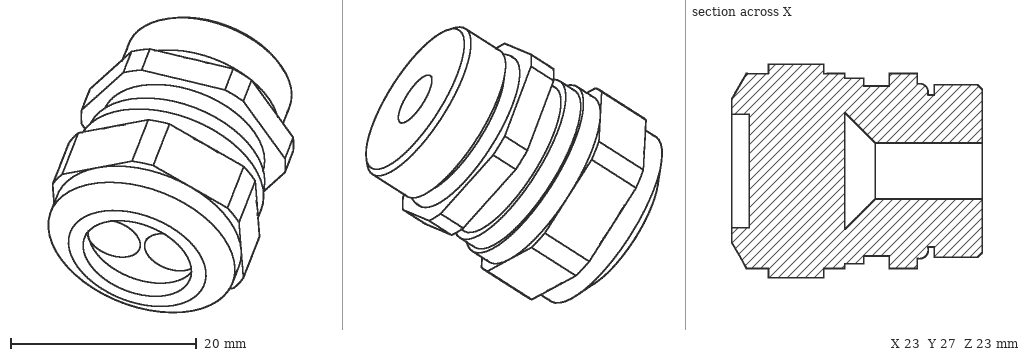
import cadquery as cq


total_length = 26.97
cap_cone_end = 1.6
cap_hex_start = 3.95
cap_hex_length = 6.0
cap_end = 12.2
collar_end = 14.2
body_hex_start = 16.95
body_hex_length = 3.05
body_hex_end = body_hex_start + body_hex_length
seal_center = 20.17
groove_end = 21.8

cap_face_diameter = 15.48
cap_diameter = 21.0
collar_diameter = 20.0
neck_diameter = 18.3
seal_diameter = 18.9
seal_section_diameter = 2.0
groove_diameter = 16.4
thread_diameter = 18.6
thread_chamfer = 0.5

hex_across_flats = 21.0
hex_corner_diameter = 23.0
cap_hex_turn = 3.0
body_hex_turn = 30.0

recess_diameter = 12.2
recess_depth = 1.9
cable_hole_diameter = 6.0
cable_hole_offset = 3.24
cable_hole_end = cap_end
funnel_mouth_diameter = 12.51
rear_bore_diameter = cable_hole_diameter
funnel_length = (funnel_mouth_diameter - rear_bore_diameter) / 2


def disc(diameter, start, end):
    """Cylinder on the Y axis between two stations."""
    return cq.Workplane("XZ", origin=(0, start, 0)).circle(diameter / 2).extrude(start - end)


def cone(start_diameter, end_diameter, start, end):
    """Truncated cone on the Y axis between two stations."""
    solid = cq.Solid.makeCone(
        start_diameter / 2, end_diameter / 2, end - start, cq.Vector(0, start, 0), cq.Vector(0, 1, 0)
    )
    return cq.Workplane(obj=solid)


def hexagon(start, length, turn):
    """Hexagonal wrench section with its corners turned down to a circle."""
    prism = (
        cq.Workplane("XZ", origin=(0, start, 0))
        .transformed(rotate=(0, 0, turn))
        .polygon(6, hex_across_flats, circumscribed=True)
        .extrude(-length)
    )
    return prism.intersect(disc(hex_corner_diameter, start, start + length))


def seal_ring():
    """Round-section ring seated in the groove and partly sunk into the body hexagon."""
    section_radius = seal_section_diameter / 2
    ring_radius = seal_diameter / 2 - section_radius
    section = cq.Workplane("XY").center(-ring_radius, seal_center).circle(section_radius)
    return section.revolve(360, (ring_radius, 0, 0), (ring_radius, 1, 0))


def outer_body():
    thread = disc(thread_diameter, groove_end, total_length).faces(">Y").chamfer(thread_chamfer)
    return (
        cone(cap_face_diameter, cap_diameter, 0, cap_cone_end)
        .union(disc(cap_diameter, cap_cone_end, cap_end))
        .union(hexagon(cap_hex_start, cap_hex_length, cap_hex_turn))
        .union(disc(collar_diameter, cap_end, collar_end))
        .union(disc(neck_diameter, collar_end, body_hex_start))
        .union(hexagon(body_hex_start, body_hex_length, body_hex_turn))
        .union(disc(groove_diameter, body_hex_end, groove_end))
        .union(seal_ring())
        .union(thread)
    )


def passages():
    funnel_end = cable_hole_end + funnel_length
    cavity = (
        disc(recess_diameter, 0, recess_depth)
        .union(cone(funnel_mouth_diameter, rear_bore_diameter, cable_hole_end, funnel_end))
        .union(disc(rear_bore_diameter, funnel_end, total_length))
    )
    for side in (-1, 1):
        hole = disc(cable_hole_diameter, recess_depth, cable_hole_end)
        cavity = cavity.union(hole.translate((side * cable_hole_offset, 0, 0)))
    return cavity


result = outer_body().cut(passages())